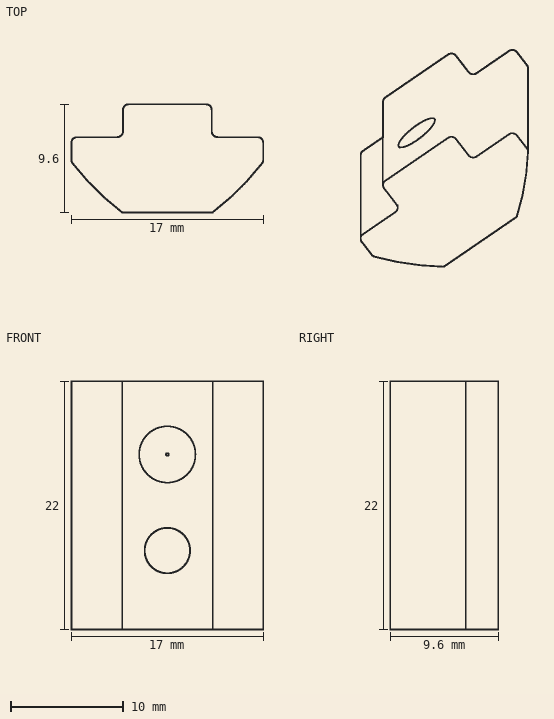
import cadquery as cq
import math

length = 22.0
width = 17.0
depth = 9.6

neck_width = 7.88
neck_height = 2.9
front_flat_width = 8.0
side_end_y = 4.49
flank_radius = 24.2
edge_radius = 0.5

through_diameter = 4.0
through_z = 7.0
blind_diameter = 5.0
blind_z = 15.5
blind_straight_depth = 6.0
drill_point_angle = 130.0
drill_tip_diameter = 0.25

half_width = width / 2
half_neck = neck_width / 2
half_flat = front_flat_width / 2
shoulder_y = depth - neck_height


def flank_midpoint(side):
    """Middle of the outward-bulging flank arc; side is +1 or -1."""
    run = half_width - half_flat
    chord = math.hypot(run, side_end_y)
    bulge = flank_radius - math.sqrt(flank_radius**2 - (chord / 2) ** 2)
    x = (half_width + half_flat) / 2 + bulge * side_end_y / chord
    y = side_end_y / 2 - bulge * run / chord
    return side * x, y


def make_body():
    body = (
        cq.Workplane("XY")
        .moveTo(-half_flat, 0)
        .lineTo(half_flat, 0)
        .threePointArc(flank_midpoint(1), (half_width, side_end_y))
        .lineTo(half_width, shoulder_y)
        .lineTo(half_neck, shoulder_y)
        .lineTo(half_neck, depth)
        .lineTo(-half_neck, depth)
        .lineTo(-half_neck, shoulder_y)
        .lineTo(-half_width, shoulder_y)
        .lineTo(-half_width, side_end_y)
        .threePointArc(flank_midpoint(-1), (-half_flat, 0))
        .close()
        .extrude(length)
    )
    rounded_edges = body.edges("|Z").edges(cq.selectors.BoxSelector(
        (-width, side_end_y / 2, 0), (width, 2 * depth, length)))
    return rounded_edges.fillet(edge_radius)


def make_through_hole():
    return (
        cq.Workplane("XZ")
        .center(0, through_z)
        .circle(through_diameter / 2)
        .extrude(-depth)
    )


def make_blind_hole():
    """Straight bore ending in a conical drill point with a tiny flat tip."""
    radius = blind_diameter / 2
    tip_radius = drill_tip_diameter / 2
    point_depth = (radius - tip_radius) / math.tan(math.radians(drill_point_angle / 2))
    bottom = blind_straight_depth + point_depth
    half_section = [
        (0, 0),
        (radius, 0),
        (radius, blind_straight_depth),
        (tip_radius, bottom),
        (0, bottom),
    ]
    return (
        cq.Workplane("XY")
        .polyline(half_section)
        .close()
        .revolve(360, (0, 0, 0), (0, 1, 0))
        .translate((0, 0, blind_z))
    )


result = make_body().cut(make_through_hole()).cut(make_blind_hole())